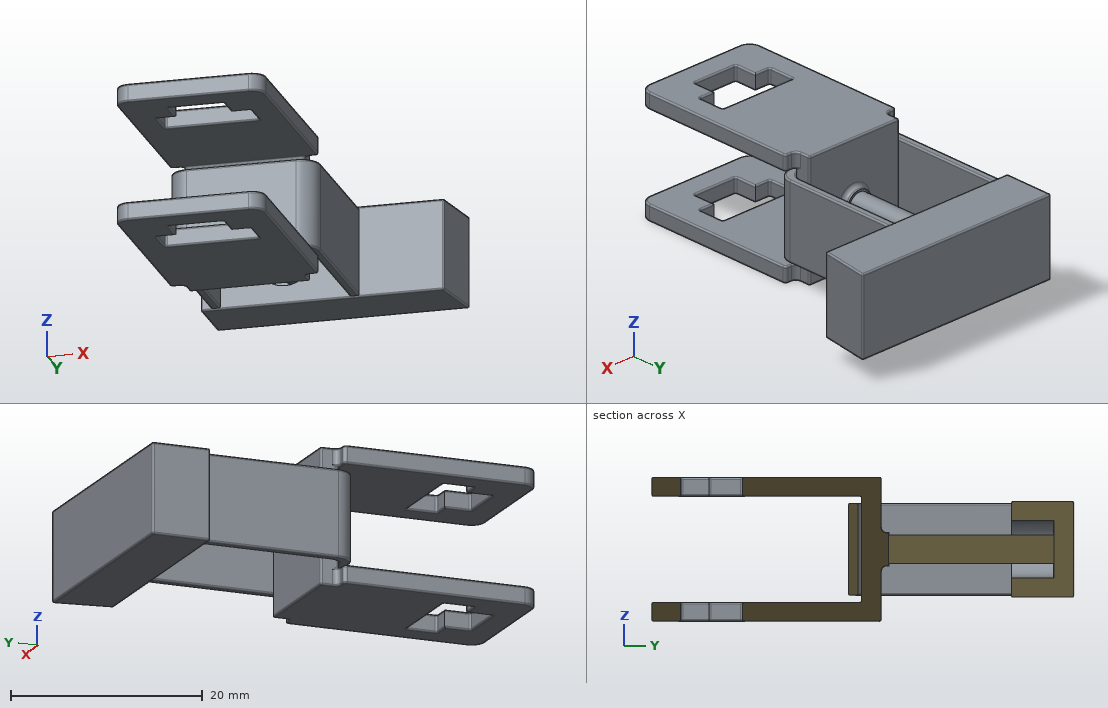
import cadquery as cq

EDGE_ROUND = 0.2

BLOCK_DEPTH = 6.5
BLOCK_HEIGHT = 10.0
BLOCK_LEFT = 9.1
BLOCK_RIGHT_BACK = 18.2
BLOCK_RIGHT_FRONT = 17.23
POCKET_DIAMETER = 6.0
POCKET_DEPTH = 4.4

WIDTH = 16.05
STRAP_THICKNESS = 1.0
STRAP_LENGTH = 17.0
STRAP_HEIGHT = 9.6
STRAP_BEND_OUTER = 2.05
STRAP_BEND_INNER = 1.65

FORK_BACK = -13.55
FORK_FRONT = BLOCK_DEPTH - 44.05
FORK_HEIGHT = 15.02
PLATE_THICKNESS = 2.0
GAP_HEIGHT = FORK_HEIGHT - 2 * PLATE_THICKNESS
PLATE_CORNER = 1.5
WEB_WIDTH = 13.0
WEB_THICKNESS = 2.05
NECK_LENGTH = 2.03
SHOULDER_Y = FORK_BACK - NECK_LENGTH
SHOULDER_INNER_ROUND = 0.65
SHOULDER_OUTER_ROUND = 0.4

WINDOW_BACK = -28.05
WINDOW_HEAD_WIDTH = 10.18
WINDOW_HEAD_LENGTH = 3.5
WINDOW_STEM_WIDTH = 6.0
WINDOW_STEM_LENGTH = 2.95
WINDOW_ROUND = 0.2

BOSS_DIAMETER = 3.5
BOSS_LENGTH = 0.8
BOSS_ROOT_ROUND = 0.55
ROD_DIAMETER = 3.0


def cylinder_along_y(diameter, start, end):
    """Cylinder on the rod axis between two Y positions, start below end."""
    return cq.Workplane("XZ", origin=(0, start, 0)).circle(diameter / 2).extrude(start - end)


def make_block():
    outline = [
        (-BLOCK_LEFT, 0),
        (BLOCK_RIGHT_FRONT, 0),
        (BLOCK_RIGHT_BACK, BLOCK_DEPTH),
        (-BLOCK_LEFT, BLOCK_DEPTH),
    ]
    body = cq.Workplane("XY").polyline(outline).close().extrude(BLOCK_HEIGHT / 2, both=True)
    body = body.edges().fillet(EDGE_ROUND)
    return body.cut(cylinder_along_y(POCKET_DIAMETER, 0, POCKET_DEPTH))


def bent_profile(half_width, front, bend):
    """Rectangle from Y = 0 to the front, with its two front corners rounded."""
    length = -front
    profile = cq.Workplane("XY").center(0, front / 2).rect(2 * half_width, length)
    profile = profile.extrude(STRAP_HEIGHT / 2, both=True)
    return profile.edges("|Z and <Y").fillet(bend)


def make_strap():
    outer = bent_profile(WIDTH / 2, -STRAP_LENGTH, STRAP_BEND_OUTER)
    inner = bent_profile(WIDTH / 2 - STRAP_THICKNESS, STRAP_THICKNESS - STRAP_LENGTH, STRAP_BEND_INNER)
    return outer.cut(inner).faces("|Z").edges("not(>Y)").fillet(EDGE_ROUND)


def box_across_fork(width, back, length):
    """Box through the full height of the fork, running forward from the back position."""
    box = cq.Workplane("XY").center(0, back - length / 2).rect(width, length)
    return box.extrude(FORK_HEIGHT / 2, both=True)


def make_window():
    """T-shaped cutter with rounded outer corners; the stem meets the head in sharp corners."""
    head = box_across_fork(WINDOW_HEAD_WIDTH, WINDOW_BACK, WINDOW_HEAD_LENGTH)
    head = head.edges("|Z").fillet(WINDOW_ROUND)
    stem = box_across_fork(WINDOW_STEM_WIDTH, WINDOW_BACK, WINDOW_HEAD_LENGTH + WINDOW_STEM_LENGTH)
    stem = stem.edges("|Z and <Y").fillet(WINDOW_ROUND)
    return head.union(stem)


def make_fork_outline():
    """Outline shared by both plates, through the full height: a narrow neck, then shoulders."""
    neck = box_across_fork(WEB_WIDTH, FORK_BACK, NECK_LENGTH)
    paddle = box_across_fork(WIDTH, SHOULDER_Y, SHOULDER_Y - FORK_FRONT)
    paddle = paddle.edges("|Z and <Y").fillet(PLATE_CORNER)
    paddle = paddle.edges("|Z and >Y").fillet(SHOULDER_OUTER_ROUND)
    corner_x = WEB_WIDTH / 2
    outline = neck.union(paddle)
    corners = outline.edges(cq.selectors.BoxSelector(
        (-corner_x - 0.05, SHOULDER_Y - 0.05, -0.45),
        (corner_x + 0.05, SHOULDER_Y + 0.05, 0.45),
    )).edges("|Z")
    return corners.fillet(SHOULDER_INNER_ROUND)


def make_plates():
    """Both fork plates, rounded along every edge of their flat faces."""
    gap = cq.Workplane("XY").box(3 * WIDTH, -3 * FORK_FRONT, GAP_HEIGHT)
    outline = make_fork_outline().faces(">Y").edges("|Z").fillet(EDGE_ROUND)
    return outline.cut(gap).cut(make_window()).faces("|Z").edges().fillet(EDGE_ROUND)


def make_web():
    """Web that reaches into both plates up to the start of their outer rounding."""
    web = box_across_fork(WEB_WIDTH, FORK_BACK, WEB_THICKNESS)
    web = web.intersect(cq.Workplane("XY").box(3 * WIDTH, -3 * FORK_FRONT, FORK_HEIGHT - 2 * EDGE_ROUND))
    return web.edges("|Z").fillet(EDGE_ROUND)


def make_fork():
    body = make_plates().union(make_web())
    web_front = FORK_BACK - WEB_THICKNESS
    for side in (-1, 1):
        junction = cq.selectors.NearestToPointSelector((0, web_front, side * GAP_HEIGHT / 2))
        body = body.edges(junction).fillet(EDGE_ROUND)

    boss = cylinder_along_y(BOSS_DIAMETER, FORK_BACK - WEB_THICKNESS / 2, FORK_BACK + BOSS_LENGTH)
    boss_root = cq.selectors.NearestToPointSelector((0, FORK_BACK, 0))
    return body.union(boss).edges("%CIRCLE").edges(boss_root).fillet(BOSS_ROOT_ROUND)


block = make_block()
strap = make_strap()
fork = make_fork()
rod = cylinder_along_y(ROD_DIAMETER, FORK_BACK + BOSS_LENGTH, POCKET_DEPTH)

result = cq.Compound.makeCompound([block.val(), strap.val(), fork.val(), rod.val()])